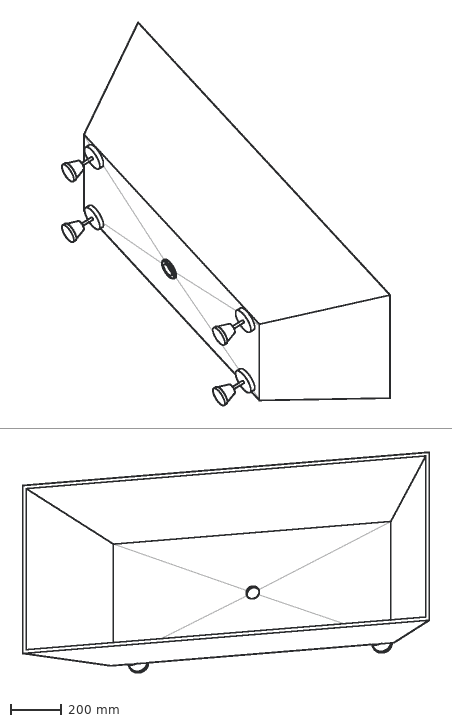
import cadquery as cq
RIM_LENGTH = 1669.63
RIM_WIDTH = 716.52
FLOOR_LENGTH = 1162.0
FLOOR_WIDTH = 530.0
TUB_DEPTH = 463.0
WALL = 15.0
FLOOR_THICKNESS = 6.0

PYRAMID_DROP = 9.8
PYRAMID_LENGTH = 1196.0

DRAIN_DIAMETER = 86.0
DRAIN_BORE = 53.0
DRAIN_CHAMFER = 4.0

OVERALL_DEPTH = 605.0
FOOT_SPACING_X = 1000.0
FOOT_SPACING_Z = 420.0
PLATE_DIAMETER = 102.0
PLATE_THICKNESS = 20.0
STEM_DIAMETER = 12.0
CONE_TOP_DIAMETER = 43.0
CONE_BASE_DIAMETER = 76.0
CONE_HEIGHT = 52.0
PAD_DIAMETER = 80.0
PAD_THICKNESS = 13.0

SLOPE_X = (RIM_LENGTH - FLOOR_LENGTH) / TUB_DEPTH
SLOPE_Z = (RIM_WIDTH - FLOOR_WIDTH) / TUB_DEPTH
PLATE_BOTTOM = TUB_DEPTH + PLATE_THICKNESS
PAD_TOP = OVERALL_DEPTH - PAD_THICKNESS
CONE_TOP = PAD_TOP - CONE_HEIGHT


def plane_at(depth):
    """Workplane parallel to the rim at a depth below it, with its normal toward -Y."""
    return cq.Workplane("XZ", origin=(0, -depth, 0))


def tapered_block(length, width, depth):
    """Rectangular block that narrows from the rim downward with the slopes of the tub walls."""
    return (
        plane_at(0)
        .rect(length, width)
        .workplane(offset=depth)
        .rect(length - SLOPE_X * depth, width - SLOPE_Z * depth)
        .loft(ruled=True)
    )


def floor_limit(floor_depth):
    """Everything above the floor: a straight block ending in the shallow pyramid."""
    apex = (0, -floor_depth - PYRAMID_DROP, 0)
    half_x = PYRAMID_LENGTH / 2
    half_z = FLOOR_WIDTH / 2
    corners = [
        (-half_x, -floor_depth, -half_z),
        (half_x, -floor_depth, -half_z),
        (half_x, -floor_depth, half_z),
        (-half_x, -floor_depth, half_z),
    ]
    faces = [cq.Face.makeFromWires(cq.Wire.makePolygon(corners, close=True))]
    for start, end in zip(corners, corners[1:] + corners[:1]):
        outline = cq.Wire.makePolygon([start, end, apex], close=True)
        faces.append(cq.Face.makeFromWires(outline))
    pyramid = cq.Solid.makeSolid(cq.Shell.makeShell(faces))
    block = plane_at(0).rect(RIM_LENGTH, RIM_WIDTH).extrude(floor_depth)
    return block.union(cq.Workplane(pyramid))


def basin(length, width, floor_depth):
    """Tapered block closed below by the pyramid floor."""
    block = tapered_block(length, width, floor_depth + PYRAMID_DROP)
    return block.intersect(floor_limit(floor_depth))


def make_tub():
    outside = basin(RIM_LENGTH, RIM_WIDTH, TUB_DEPTH)
    inside = basin(RIM_LENGTH - 2 * WALL, RIM_WIDTH - 2 * WALL, TUB_DEPTH - FLOOR_THICKNESS)
    return outside.cut(inside)


def make_drain_collar():
    collar_top = TUB_DEPTH + PYRAMID_DROP - FLOOR_THICKNESS
    collar = plane_at(collar_top).circle(DRAIN_DIAMETER / 2).extrude(PLATE_BOTTOM - collar_top)
    return collar.faces("<Y").edges().chamfer(DRAIN_CHAMFER)


def make_foot():
    """Mounting plate, stem, cone and pad, stacked along -Y and centred on the Y axis."""
    plate = plane_at(TUB_DEPTH).circle(PLATE_DIAMETER / 2).extrude(PLATE_THICKNESS)
    stem = plane_at(TUB_DEPTH).circle(STEM_DIAMETER / 2).extrude(PAD_TOP - TUB_DEPTH)
    cone = (
        plane_at(CONE_TOP)
        .circle(CONE_TOP_DIAMETER / 2)
        .workplane(offset=CONE_HEIGHT)
        .circle(CONE_BASE_DIAMETER / 2)
        .loft()
    )
    pad = plane_at(PAD_TOP).circle(PAD_DIAMETER / 2).extrude(PAD_THICKNESS)
    return plate.union(stem).union(cone).union(pad)


result = make_tub().union(make_drain_collar())

foot = make_foot()
for side_x in (-1, 1):
    for side_z in (-1, 1):
        position = (side_x * FOOT_SPACING_X / 2, 0, side_z * FOOT_SPACING_Z / 2)
        result = result.union(foot.translate(position))

drain_bore = plane_at(TUB_DEPTH - FLOOR_THICKNESS).circle(DRAIN_BORE / 2).extrude(OVERALL_DEPTH - TUB_DEPTH)
result = result.cut(drain_bore)